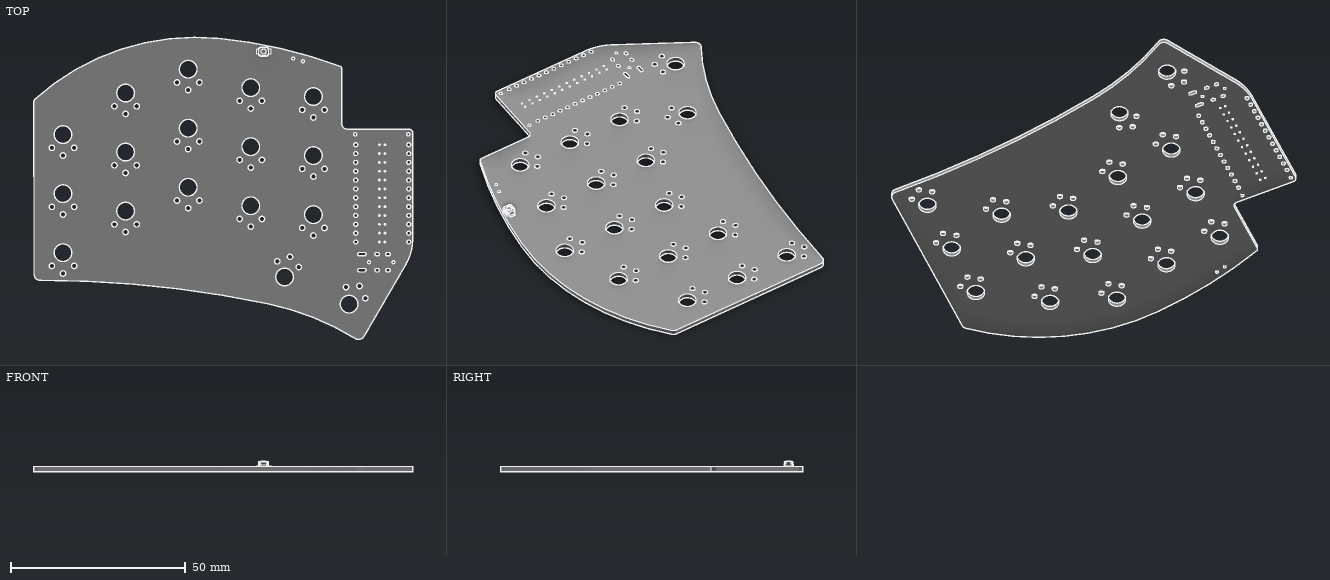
import cadquery as cq
import math

BOARD_THICKNESS = 1.6

LEFT_TOP_X = 0.0
LEFT_BOTTOM_X = 0.12
RIGHT_X = 108.96
NOTCH_X = 88.57
NOTCH_Y = 60.5
SLANT_ANGLE = 59.8
SLANT_FOOT_X = 94.4

TOP_LEFT_CENTER = (46.62, 17.88)
TOP_LEFT_RADIUS = 69.0
TOP_RIGHT_RADIUS = 138.5
TOP_JOINT_ANGLE = 84.4
BOTTOM_LEFT_CENTER = (2.25, -300.8)
BOTTOM_LEFT_RADIUS = 317.8
BOTTOM_RIGHT_RADIUS = 79.0
BOTTOM_JOINT_ANGLE = 78.2

LEFT_TOP_FILLET = 1.5
RIGHT_TOP_FILLET = 0.8
NOTCH_FILLET = 1.5
MODULE_CORNER_FILLET = 1.2
BEND_FILLET = 15.0
TIP_FILLET = 1.86
LEFT_BOTTOM_FILLET = 1.8

KEY_PITCH_X = 17.98
KEY_PITCH_Y = 16.96
FIRST_COLUMN_X = 8.45
COLUMN_BOTTOM_Y = (24.98, 36.92, 43.77, 38.47, 35.9)
KEYS_PER_COLUMN = 3
THUMB_KEYS = ((72.1, 18.0, 165.0), (90.62, 10.2, 150.0))
SWITCH_HOLE_DIAMETER = 5.0
SWITCH_PIN_DIAMETER = 1.5
SWITCH_PINS = ((-3.2, -3.8), (3.2, -3.8), (0.0, -6.0))

MODULE_X = 100.15
MODULE_BOTTOM_Y = 28.05
MODULE_PITCH = 2.54
MODULE_PINS_PER_ROW = 12
MODULE_ROW_SPACING = 15.24
MODULE_PIN_DIAMETER = 1.1
VIA_SPACING = 1.6
VIA_X = 100.12
VIA_DIAMETER = 0.4
END_PIN_DIAMETER = 0.9
END_PIN_SHIFT_X = -0.15
END_PIN_Y = 58.95

JACK_X = 99.85
JACK_Y = 22.25
JACK_PEG_SPACING = 7.0
JACK_PEG_DIAMETER = 0.81
JACK_ROW_SPACING = 4.6
JACK_SLOT_WIDTH = 0.9
JACK_SLOTS = ((-5.55, 2.4), (-1.15, 1.3), (1.95, 1.3))

BATTERY_HOLES = ((74.55, 80.75), (77.35, 79.95))
BATTERY_HOLE_DIAMETER = 0.8

BUTTON_X = 66.07
BUTTON_Y = 82.75
BUTTON_HEIGHT = 1.62
BODY_LENGTH = 2.8
BODY_WIDTH = 2.75
BODY_CHAMFER = 0.4
BASE_HEIGHT = 0.35
POST_LENGTH = 0.6
POST_WIDTH = 0.8
POST_TOP = 0.7
NECK_WIDTH = 2.2
NECK_TOP = 1.35
COVER_BOTTOM = 1.2
COVER_TOP = 1.3
PLUNGER_DIAMETER = 1.5
TERMINAL_SPAN = 4.15
TERMINAL_WIDTH = 1.5
TERMINAL_HEIGHT = 0.1


def polar(center, radius, angle):
    """Point on a circle, with the angle in degrees."""
    turn = math.radians(angle)
    return (center[0] + radius * math.cos(turn), center[1] + radius * math.sin(turn))


def angle_at_x(center, radius, x):
    """Angle of the upper point of a circle that has the given X."""
    return math.degrees(math.acos((x - center[0]) / radius))


def arc_middle(center, radius, start_angle, end_angle):
    """Point halfway along an arc."""
    return polar(center, radius, (start_angle + end_angle) / 2)


def board_blank():
    """Plain board with rounded corners, before drilling."""
    top_right_center = polar(TOP_LEFT_CENTER, TOP_LEFT_RADIUS - TOP_RIGHT_RADIUS, TOP_JOINT_ANGLE)
    bottom_right_center = polar(
        BOTTOM_LEFT_CENTER, BOTTOM_LEFT_RADIUS - BOTTOM_RIGHT_RADIUS, BOTTOM_JOINT_ANGLE
    )

    left_top_angle = angle_at_x(TOP_LEFT_CENTER, TOP_LEFT_RADIUS, LEFT_TOP_X)
    right_top_angle = angle_at_x(top_right_center, TOP_RIGHT_RADIUS, NOTCH_X)
    left_bottom_angle = angle_at_x(BOTTOM_LEFT_CENTER, BOTTOM_LEFT_RADIUS, LEFT_BOTTOM_X)

    normal_angle = SLANT_ANGLE - 90
    normal = polar((0, 0), 1, normal_angle)
    offset = (SLANT_FOOT_X - bottom_right_center[0]) * normal[0] - bottom_right_center[1] * normal[1]
    tip_angle = normal_angle + math.degrees(math.acos(offset / BOTTOM_RIGHT_RADIUS))

    left_top = polar(TOP_LEFT_CENTER, TOP_LEFT_RADIUS, left_top_angle)
    top_joint = polar(TOP_LEFT_CENTER, TOP_LEFT_RADIUS, TOP_JOINT_ANGLE)
    right_top = polar(top_right_center, TOP_RIGHT_RADIUS, right_top_angle)
    notch = (NOTCH_X, NOTCH_Y)
    module_corner = (RIGHT_X, NOTCH_Y)
    bend = (RIGHT_X, (RIGHT_X - SLANT_FOOT_X) * math.tan(math.radians(SLANT_ANGLE)))
    tip = polar(bottom_right_center, BOTTOM_RIGHT_RADIUS, tip_angle)
    bottom_joint = polar(BOTTOM_LEFT_CENTER, BOTTOM_LEFT_RADIUS, BOTTOM_JOINT_ANGLE)
    left_bottom = polar(BOTTOM_LEFT_CENTER, BOTTOM_LEFT_RADIUS, left_bottom_angle)

    blank = (
        cq.Workplane("XY")
        .moveTo(*left_top)
        .threePointArc(
            arc_middle(TOP_LEFT_CENTER, TOP_LEFT_RADIUS, left_top_angle, TOP_JOINT_ANGLE), top_joint
        )
        .threePointArc(
            arc_middle(top_right_center, TOP_RIGHT_RADIUS, TOP_JOINT_ANGLE, right_top_angle), right_top
        )
        .lineTo(*notch)
        .lineTo(*module_corner)
        .lineTo(*bend)
        .lineTo(*tip)
        .threePointArc(
            arc_middle(bottom_right_center, BOTTOM_RIGHT_RADIUS, tip_angle, BOTTOM_JOINT_ANGLE),
            bottom_joint,
        )
        .threePointArc(
            arc_middle(BOTTOM_LEFT_CENTER, BOTTOM_LEFT_RADIUS, BOTTOM_JOINT_ANGLE, left_bottom_angle),
            left_bottom,
        )
        .close()
        .extrude(BOARD_THICKNESS)
    )
    corner_fillets = (
        (left_top, LEFT_TOP_FILLET),
        (right_top, RIGHT_TOP_FILLET),
        (notch, NOTCH_FILLET),
        (module_corner, MODULE_CORNER_FILLET),
        (bend, BEND_FILLET),
        (tip, TIP_FILLET),
        (left_bottom, LEFT_BOTTOM_FILLET),
    )
    for (x, y), radius in corner_fillets:
        corner = cq.selectors.NearestToPointSelector((x, y, BOARD_THICKNESS / 2))
        blank = blank.edges(corner).fillet(radius)
    return blank


def drills(points, diameter):
    """Round cutters through the board, as one workplane."""
    return cq.Workplane("XY").pushPoints(points).circle(diameter / 2).extrude(BOARD_THICKNESS)


def key_positions():
    """X, Y and turn of every key switch."""
    keys = list(THUMB_KEYS)
    for column, bottom_y in enumerate(COLUMN_BOTTOM_Y):
        for row in range(KEYS_PER_COLUMN):
            keys.append((FIRST_COLUMN_X + column * KEY_PITCH_X, bottom_y + row * KEY_PITCH_Y, 0.0))
    return keys


def switch_pin_points():
    """Pin holes of every key switch, turned with the key."""
    points = []
    for key_x, key_y, turn in key_positions():
        for pin_x, pin_y in SWITCH_PINS:
            reach = math.hypot(pin_x, pin_y)
            direction = math.degrees(math.atan2(pin_y, pin_x))
            points.append(polar((key_x, key_y), reach, direction + turn))
    return points


def module_rows(center_x, spacing):
    """Two parallel rows of points at the module's pin pitch."""
    return [
        (center_x + side * spacing / 2, MODULE_BOTTOM_Y + pin * MODULE_PITCH)
        for side in (-1, 1)
        for pin in range(MODULE_PINS_PER_ROW)
    ]


def make_board():
    """Board with all its holes and slots."""
    board = board_blank()
    key_centers = [(x, y) for x, y, _ in key_positions()]
    end_pins = [
        (MODULE_X + END_PIN_SHIFT_X + side * MODULE_ROW_SPACING / 2, END_PIN_Y) for side in (-1, 1)
    ]
    jack_pegs = [(JACK_X + side * JACK_PEG_SPACING / 2, JACK_Y) for side in (-1, 1)]
    hole_groups = (
        (key_centers, SWITCH_HOLE_DIAMETER),
        (switch_pin_points(), SWITCH_PIN_DIAMETER),
        (module_rows(MODULE_X, MODULE_ROW_SPACING), MODULE_PIN_DIAMETER),
        (module_rows(VIA_X, VIA_SPACING), VIA_DIAMETER),
        (end_pins, END_PIN_DIAMETER),
        (jack_pegs, JACK_PEG_DIAMETER),
        (BATTERY_HOLES, BATTERY_HOLE_DIAMETER),
    )
    for points, diameter in hole_groups:
        board = board.cut(drills(points, diameter))

    for slot_x, length in JACK_SLOTS:
        slots = (
            cq.Workplane("XY")
            .pushPoints([(JACK_X + slot_x, JACK_Y + side * JACK_ROW_SPACING / 2) for side in (-1, 1)])
            .slot2D(length, JACK_SLOT_WIDTH)
            .extrude(BOARD_THICKNESS)
        )
        board = board.cut(slots)
    return board


def button_plane(height):
    """Workplane at a height above the board, centred on the button."""
    return cq.Workplane("XY", origin=(BUTTON_X, BUTTON_Y, BOARD_THICKNESS + height))


def button_block(width, bottom, top):
    """Full-length block with chamfered corners, between two heights above the board."""
    block = button_plane(bottom).rect(BODY_LENGTH, width).extrude(top - bottom)
    return block.edges("|Z").chamfer(BODY_CHAMFER)


def make_button():
    """Surface-mount push button standing on the board."""
    base = button_block(BODY_WIDTH, 0, BASE_HEIGHT)

    post_area = (
        button_plane(0)
        .rect(BODY_LENGTH - POST_LENGTH, BODY_WIDTH - POST_WIDTH, forConstruction=True)
        .vertices()
        .rect(POST_LENGTH, POST_WIDTH)
        .extrude(POST_TOP)
    )
    posts = button_block(BODY_WIDTH, 0, POST_TOP).intersect(post_area)

    neck = button_block(NECK_WIDTH, 0, NECK_TOP)
    cover = button_block(BODY_WIDTH, COVER_BOTTOM, COVER_TOP)

    terminals = button_plane(0).rect(TERMINAL_SPAN, TERMINAL_WIDTH).extrude(TERMINAL_HEIGHT)
    plunger = button_plane(0).circle(PLUNGER_DIAMETER / 2).extrude(BUTTON_HEIGHT)

    return base.union(posts).union(neck).union(cover).union(terminals).union(plunger)


board = make_board()
button = make_button()
result = cq.Compound.makeCompound([board.val(), button.val()])